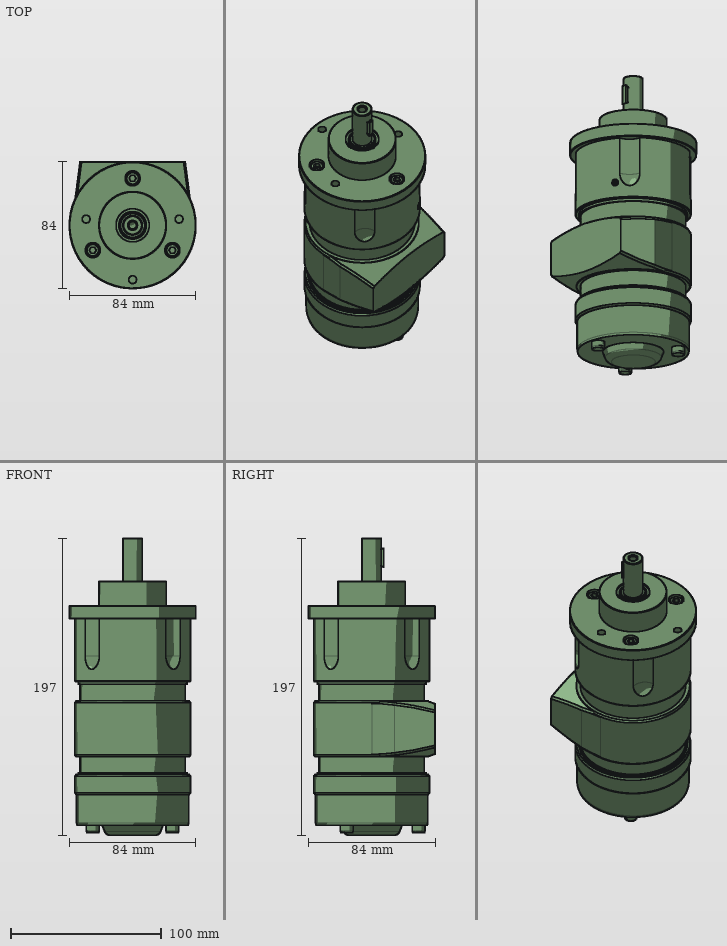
import cadquery as cq
import math


flange_diameter = 84.0
flange_thickness = 8.7
flange_edge_chamfer = 0.4
pilot_diameter = 44.8
pilot_height = 16.2

body_radius = 38.4
neck_radius = 35.0
collar_radius = 36.1
housing_collar_height = 1.8
bell_collar_height = 1.1
housing_bottom = -50.2
housing_edge_chamfer = 0.5
belt_top = -63.1
belt_height = 37.0
belt_bottom = belt_top - belt_height
bell_ring_top = -111.7
bell_ring_bottom = -125.1
ring_chamfer_width = 0.9
ring_chamfer_height = 1.3
bell_radius = 37.25
bell_bottom = -145.5
bell_rim_height = 1.8
bell_rim_step = 0.4

cap_height = 6.7
cap_top_radius = 20.2
cap_bottom_radius = 17.6
cap_edge_radius = 4.5

box_back = flange_diameter / 2
box_side_straight = 15.1
box_back_half_width = 34.9
box_slope_start_radius = 37.0
box_slope_angle = 20.0
box_edge_chamfer = 1.2

pocket_angles = (45, 135, 225, 315)
pocket_half_width = 6.7
pocket_depth = 3.0
pocket_straight_bottom = -33.0
pocket_runout = 9.1

screw_circle_radius = 31.1
screw_angles = (90, 212, 328)
screw_bore_diameter = 10.0
screw_head_diameter = 8.7
screw_head_chamfer = 0.5
screw_bore_depth = 6.0
screw_head_recess = 1.0
hex_across_flats = 4.0
hex_depth = 3.0
tail_screw_height = 4.8
tail_screw_taper_height = 1.3
tail_screw_taper_step = 0.4
mount_hole_diameter = 5.2
mount_hole_depth = 8.0
side_mount_hole_x = 30.8
side_mount_hole_y = 4.1
rear_mount_hole_radius = 36.0
plug_angle = 120.0
plug_height = -39.3
plug_bore_diameter = 4.2
plug_bore_depth = 1.0
plug_socket_diameter = 2.2
plug_socket_depth = 2.5

shaft_diameter = 12.9
shaft_length = 28.6
shaft_chamfer = 0.5
shaft_top = pilot_height + shaft_length
shoulder_diameter = 17.2
shoulder_chamfer = 0.6
seal_recess_diameter = 22.0
seal_recess_depth = 1.0
seal_gap_diameter = 18.3
seal_gap_depth = 2.0
center_hole_diameter = 5.0
center_hole_depth = 10.0
center_hole_tip_angle = 118.0
center_hole_sink_diameter = 6.5

key_disc_diameter = 13.0
key_width = 3.2
key_height = 5.0
key_top = 8.1
key_middle = shaft_top - 12.9


def disc(radius, bottom, top):
    return cq.Workplane("XY").workplane(offset=bottom).circle(radius).extrude(top - bottom)


def polar_points(radius, angles):
    turns = [math.radians(angle) for angle in angles]
    return [(radius * math.cos(turn), radius * math.sin(turn)) for turn in turns]


screw_points = polar_points(screw_circle_radius, screw_angles)


def make_turned_body():
    flange = disc(flange_diameter / 2, -flange_thickness, 0).edges().chamfer(flange_edge_chamfer)
    pilot = disc(pilot_diameter / 2, 0, pilot_height).faces(">Z").chamfer(flange_edge_chamfer)
    upper = disc(body_radius, housing_bottom, -flange_thickness)
    upper = upper.faces("<Z").chamfer(housing_edge_chamfer)
    housing_collar = disc(collar_radius, housing_bottom - housing_collar_height, housing_bottom)
    bell_collar = disc(collar_radius, bell_ring_top, bell_ring_top + bell_collar_height)
    neck = disc(neck_radius, bell_ring_top, housing_bottom)
    ring = disc(body_radius, bell_ring_bottom, bell_ring_top)
    ring = ring.edges().chamfer(ring_chamfer_height, ring_chamfer_width)
    bell = disc(bell_radius, bell_bottom, bell_ring_bottom)
    bell = bell.faces("<Z").edges().chamfer(bell_rim_height, bell_rim_step)
    body = flange
    for piece in (pilot, upper, housing_collar, neck, bell_collar, ring, bell):
        body = body.union(piece)
    return body


def make_cap():
    cap_bottom = bell_bottom - cap_height
    return (
        cq.Workplane("XZ")
        .moveTo(0, bell_bottom)
        .lineTo(cap_top_radius, bell_bottom)
        .lineTo(cap_bottom_radius, cap_bottom)
        .lineTo(0, cap_bottom)
        .close()
        .revolve(360, (0, 0, 0), (0, 1, 0))
        .faces("<Z")
        .edges()
        .fillet(cap_edge_radius)
    )


def is_flank_edge(edge):
    """True for an edge along a side wall of the box, away from its front and back faces."""
    center = edge.Center()
    beside_box = abs(center.x) > box_back_half_width
    return beside_box and 0 < center.y < box_back


def make_belt():
    ring = disc(body_radius, belt_bottom, belt_top)
    ring = ring.edges().chamfer(ring_chamfer_height, ring_chamfer_width)
    return ring.union(make_connection_box())


def make_connection_box():
    """Block whose end faces slope away from the belt as a cone about the motor axis."""
    block = (
        cq.Workplane("XY")
        .workplane(offset=belt_bottom)
        .moveTo(body_radius, 0)
        .lineTo(body_radius, box_side_straight)
        .lineTo(box_back_half_width, box_back)
        .lineTo(-box_back_half_width, box_back)
        .lineTo(-body_radius, box_side_straight)
        .lineTo(-body_radius, 0)
        .close()
        .extrude(belt_height)
    )
    reach = math.hypot(body_radius, box_back)
    drop = (reach - box_slope_start_radius) * math.tan(math.radians(box_slope_angle))
    envelope = (
        cq.Workplane("XZ")
        .moveTo(0, belt_bottom)
        .lineTo(box_slope_start_radius, belt_bottom)
        .lineTo(reach, belt_bottom + drop)
        .lineTo(reach, belt_top - drop)
        .lineTo(box_slope_start_radius, belt_top)
        .lineTo(0, belt_top)
        .close()
        .revolve(360, (0, 0, 0), (0, 1, 0))
    )
    box = block.intersect(envelope)
    flank_edges = box.faces("%CONE").edges().filter(is_flank_edge)
    return box.newObject(flank_edges.vals()).chamfer(box_edge_chamfer)


def cut_pockets(body):
    """Vertical grooves whose lower ends run out to the surface in an ogive."""
    chord_distance = math.sqrt(body_radius**2 - pocket_half_width**2)
    groove_radius = (pocket_half_width**2 + pocket_depth**2) / (2 * pocket_depth)
    axis_distance = chord_distance - pocket_depth + groove_radius
    rise = body_radius - (chord_distance - pocket_depth)
    ogive_radius = (pocket_runout**2 + rise**2) / (2 * rise)
    arc_center = groove_radius - ogive_radius
    tip = math.sqrt(ogive_radius**2 - arc_center**2)
    mid_angle = math.atan2(tip, -arc_center) / 2
    mid_point = (
        arc_center + ogive_radius * math.cos(mid_angle),
        pocket_straight_bottom - ogive_radius * math.sin(mid_angle),
    )
    cutter = (
        cq.Workplane("XZ")
        .moveTo(0, -flange_thickness)
        .lineTo(groove_radius, -flange_thickness)
        .lineTo(groove_radius, pocket_straight_bottom)
        .threePointArc(mid_point, (0, pocket_straight_bottom - tip))
        .close()
        .revolve(360, (0, 0, 0), (0, 1, 0))
    )
    for x, y in polar_points(axis_distance, pocket_angles):
        body = body.cut(cutter.translate((x, y, 0)))
    return body


def add_flange_screws(body):
    """Sunk socket heads: a ring gap round each head and a hex socket in it."""
    face = cq.Workplane("XY").pushPoints(screw_points)
    bores = face.circle(screw_bore_diameter / 2).extrude(-screw_bore_depth)
    head_top = cq.Workplane("XY").workplane(offset=-screw_head_recess).pushPoints(screw_points)
    heads = head_top.circle(screw_head_diameter / 2).extrude(screw_head_recess - screw_bore_depth)
    heads = heads.faces(">Z").edges().chamfer(screw_head_chamfer)
    sockets = head_top.polygon(6, hex_across_flats / math.cos(math.pi / 6)).extrude(-hex_depth)
    return body.cut(bores).union(heads).cut(sockets)


def add_tail_screws(body):
    heads = (
        cq.Workplane("XY")
        .workplane(offset=bell_bottom)
        .pushPoints(screw_points)
        .circle(screw_head_diameter / 2)
        .extrude(-tail_screw_height)
        .faces("<Z")
        .edges()
        .chamfer(tail_screw_taper_height, tail_screw_taper_step)
    )
    return body.union(heads)


def cut_mount_holes(body):
    points = [
        (side_mount_hole_x, side_mount_hole_y),
        (-side_mount_hole_x, side_mount_hole_y),
        (0, -rear_mount_hole_radius),
    ]
    holes = cq.Workplane("XY").pushPoints(points).circle(mount_hole_diameter / 2)
    return body.cut(holes.extrude(-mount_hole_depth))


def cut_plug(body):
    """Small stepped hole in the side of the housing."""
    direction = (math.cos(math.radians(plug_angle)), math.sin(math.radians(plug_angle)), 0)
    origin = (body_radius * direction[0], body_radius * direction[1], plug_height)
    plane = cq.Plane(origin=origin, xDir=(0, 0, 1), normal=direction)
    bore = cq.Workplane(plane).circle(plug_bore_diameter / 2).extrude(-plug_bore_depth)
    socket = cq.Workplane(plane).circle(plug_socket_diameter / 2).extrude(-plug_socket_depth)
    return body.cut(bore).cut(socket)


def make_motor():
    body = make_turned_body().union(make_belt()).union(make_cap())
    body = cut_pockets(body)
    body = add_flange_screws(body)
    body = add_tail_screws(body)
    body = cut_mount_holes(body)
    body = cut_plug(body)
    recess = disc(seal_recess_diameter / 2, pilot_height - seal_recess_depth, pilot_height)
    gap = disc(seal_gap_diameter / 2, pilot_height - seal_gap_depth, pilot_height)
    shoulder_bore = disc(shoulder_diameter / 2, 0, pilot_height)
    return body.cut(recess).cut(gap).cut(shoulder_bore)


def make_key():
    """Disc segment with its flat side outward, half sunk in the shaft."""
    disc_center = key_top - key_height + key_disc_diameter / 2
    wheel = (
        cq.Workplane("YZ")
        .center(disc_center, key_middle)
        .circle(key_disc_diameter / 2)
        .extrude(key_width / 2, both=True)
    )
    keep = cq.Workplane("XY").box(key_width, key_height, key_disc_diameter)
    return wheel.intersect(keep.translate((0, key_top - key_height / 2, key_middle)))


def make_shaft():
    shoulder = disc(shoulder_diameter / 2, 0, pilot_height).faces(">Z").chamfer(shoulder_chamfer)
    journal = disc(shaft_diameter / 2, pilot_height, shaft_top).faces(">Z").chamfer(shaft_chamfer)
    hole_radius = center_hole_diameter / 2
    sink_radius = center_hole_sink_diameter / 2
    hole_bottom = shaft_top - center_hole_depth
    tip_height = hole_radius / math.tan(math.radians(center_hole_tip_angle / 2))
    center_hole = (
        cq.Workplane("XZ")
        .moveTo(0, shaft_top)
        .lineTo(sink_radius, shaft_top)
        .lineTo(hole_radius, shaft_top - (sink_radius - hole_radius))
        .lineTo(hole_radius, hole_bottom)
        .lineTo(0, hole_bottom - tip_height)
        .close()
        .revolve(360, (0, 0, 0), (0, 1, 0))
    )
    return shoulder.union(journal).cut(center_hole).cut(make_key())


motor = make_motor()
shaft = make_shaft()
key = make_key()
result = cq.Compound.makeCompound([motor.val(), shaft.val(), key.val()])